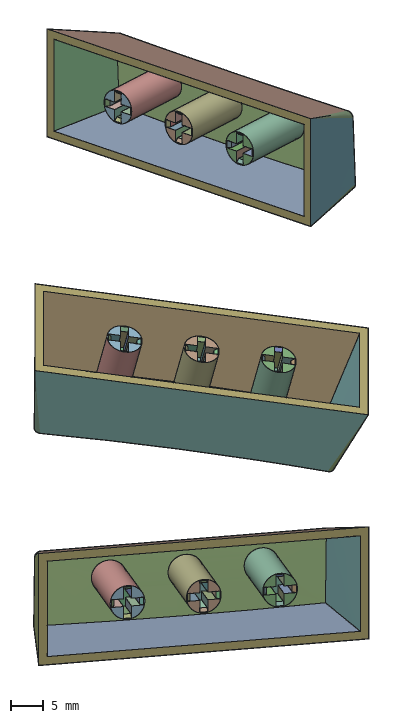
import cadquery as cq
import math

SKIRT_WIDTH = 51.5
SKIRT_HEIGHT = 18.0

TOP_WIDTH = 46.35
TOP_LOWER_Y = 14.0
TOP_LOWER_Z = -8.65
TOP_UPPER_Y = 13.35
TOP_UPPER_Z = 4.55
TOP_CORNER_RADIUS = 1.0
SKIRT_CORNER_RADIUS = 0.01
DISH_DEPTH = 0.65

RIM_WALL = 1.35
TOP_THICKNESS = 1.05
FLOOR_WIDTH = 44.15
FLOOR_LOWER_Z = -7.3
FLOOR_UPPER_Z = 3.45

STEM_DIAMETER = 5.4
STEM_SPACING = 11.9
CROSS_SPAN = 4.0
CROSS_SLOT = 1.25
CROSS_DEPTH = 4.0
CROSS_LEAD_IN = 0.5

stem_xs = (-STEM_SPACING, 0, STEM_SPACING)
top_tilt = math.atan2(TOP_LOWER_Y - TOP_UPPER_Y, TOP_UPPER_Z - TOP_LOWER_Z)
top_length = math.hypot(TOP_LOWER_Y - TOP_UPPER_Y, TOP_UPPER_Z - TOP_LOWER_Z)
top_normal = cq.Vector(0, math.cos(top_tilt), math.sin(top_tilt))
top_centre = cq.Vector(0, (TOP_LOWER_Y + TOP_UPPER_Y) / 2, (TOP_LOWER_Z + TOP_UPPER_Z) / 2)
dish_radius = ((TOP_WIDTH / 2) ** 2 + DISH_DEPTH**2) / (2 * DISH_DEPTH)


def rounded_rectangle(plane, width, length, radius):
    """Wire of a rectangle with rounded corners, centred on a plane."""
    wire = rectangle(plane, width, length)
    return wire.fillet2D(radius, wire.Vertices())


def rectangle(plane, width, length):
    """Wire of a sharp rectangle, centred on a plane."""
    return cq.Workplane(plane).rect(width, length).val()


def facing_plane(centre, normal):
    """Plane square to the normal, with its local x along -X."""
    return cq.Plane(origin=centre.toTuple(), xDir=(-1, 0, 0), normal=normal.toTuple())


rim_plane = facing_plane(cq.Vector(0, 0, 0), cq.Vector(0, 1, 0))
top_plane = facing_plane(top_centre, top_normal)


def dish(depth_below_top):
    """Large cylinder that hollows the top, shifted down by the given depth."""
    shift = dish_radius - DISH_DEPTH - depth_below_top
    axis_centre = top_centre + top_normal * shift
    axis_plane = cq.Plane(origin=axis_centre.toTuple(), xDir=(1, 0, 0), normal=top_plane.yDir)
    return cq.Workplane(axis_plane).circle(dish_radius).extrude(SKIRT_HEIGHT, both=True)


def outer_body():
    """Solid cap tapering from the sharp rim to the rounded, dished top."""
    rim = rounded_rectangle(rim_plane, SKIRT_WIDTH, SKIRT_HEIGHT, SKIRT_CORNER_RADIUS)
    top = rounded_rectangle(top_plane, TOP_WIDTH, top_length, TOP_CORNER_RADIUS)
    block = cq.Workplane(cq.Solid.makeLoft([rim, top], True))
    return block.cut(dish(0))


def cavity():
    """Hollow inside the cap, open at the rim."""
    rim = rectangle(rim_plane, SKIRT_WIDTH - 2 * RIM_WALL, SKIRT_HEIGHT - 2 * RIM_WALL)

    floor_z = (FLOOR_LOWER_Z + FLOOR_UPPER_Z) / 2
    floor_y = (
        top_centre.y
        - TOP_THICKNESS / math.cos(top_tilt)
        - (floor_z - top_centre.z) * math.tan(top_tilt)
    )
    floor_plane = facing_plane(cq.Vector(0, floor_y, floor_z), top_normal)
    floor_length = (FLOOR_UPPER_Z - FLOOR_LOWER_Z) / math.cos(top_tilt)
    floor = rectangle(floor_plane, FLOOR_WIDTH, floor_length)
    block = cq.Workplane(cq.Solid.makeLoft([rim, floor], True))
    return block.cut(dish(TOP_THICKNESS))


def stems():
    """Solid posts from the rim plane up to the cavity floor."""
    posts = (
        cq.Workplane("XZ")
        .pushPoints([(x, 0) for x in stem_xs])
        .circle(STEM_DIAMETER / 2)
        .extrude(-TOP_LOWER_Y)
    )
    return posts.intersect(cavity())


def cross_arm(x, span_x, span_z, lead_x, lead_z):
    """One slot of a cross socket, its two ends flared at the mouth."""
    slot = (
        cq.Workplane("XZ", origin=(x, 0, 0))
        .rect(span_x, span_z)
        .extrude(-CROSS_DEPTH)
    )
    flare = (
        cq.Workplane("XZ", origin=(x, 0, 0))
        .rect(span_x + 2 * lead_x, span_z + 2 * lead_z)
        .workplane(offset=-CROSS_LEAD_IN)
        .rect(span_x, span_z)
        .loft(ruled=True)
    )
    return slot.union(flare)


result = outer_body().cut(cavity()).union(stems())
for stem_x in stem_xs:
    result = result.cut(cross_arm(stem_x, CROSS_SPAN, CROSS_SLOT, CROSS_LEAD_IN, 0))
    result = result.cut(cross_arm(stem_x, CROSS_SLOT, CROSS_SPAN, 0, CROSS_LEAD_IN))